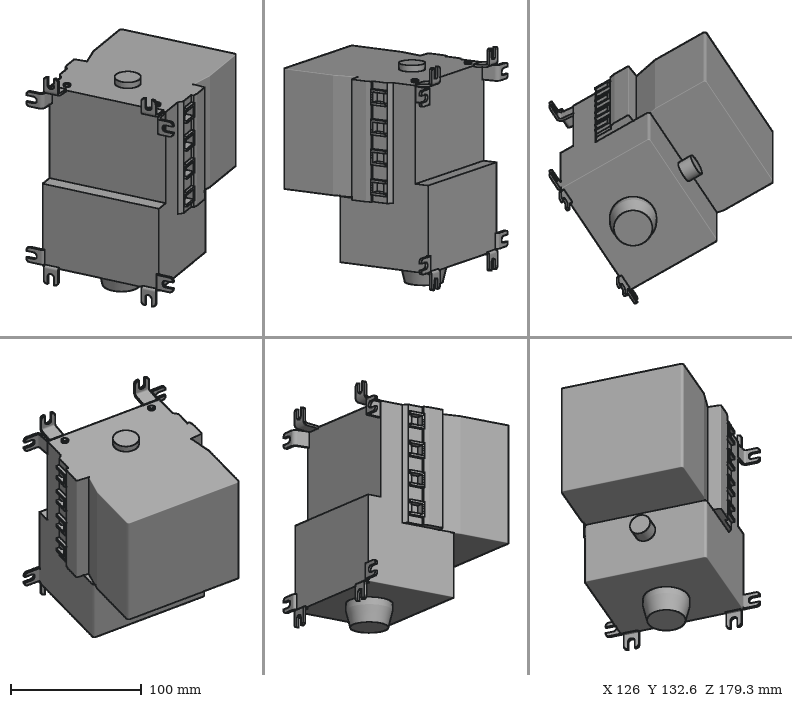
import cadquery as cq
import math


half_width = 50.0
body_height = 146.0
lower_depth = 80.0
front_step_y = 11.5
front_step_z = 69.0
overhang_z = 51.6
corner_radius = 2.2
edge_radius = 0.5

back_y = 130.4
taper_start_y = 85.2
taper_end_half_width = 45.9

wing_back_y = 65.8
wing_corner_y = 64.9
wing_half_width = 56.1
wing_slope_start_y = 52.2
wing_slope_half_width = 55.2
terminal_back_y = 47.9
terminal_front_y = 34.8
recess_half_width = 53.3
wing_front_y = 31.4

terminal_count = 4
terminal_height = 12.0
terminal_pitch = 23.5
window_height = 8.0
window_back_y = 45.7
post_back_y = 38.9
post_radius = 2.2

top_knob_radius = 10.0
top_knob_height = 5.0
top_knob_y = 45.2
back_knob_radius = 8.2
back_knob_end_y = 91.5
back_knob_z = 34.0
gland_radius = 18.0
gland_end_radius = 14.7
gland_collar_height = 5.7
gland_height = 19.0
gland_y = 34.6
screw_x = 38.7
screw_y = 18.8
screw_stem_radius = 2.3
screw_rim_radius = 2.9
screw_top_radius = 1.8
screw_stem_height = 0.9
screw_rim_height = 1.3
screw_height = 2.2

bracket_width = 12.4
bracket_thickness = 2.0
foot_front_y = -2.2
fork_slot_width = 5.5
fork_slot_depth = 9.0
fork_corner_radius = 2.9
arm_tilt = 5.0
upper_arm_end_y = 12.2
upper_bend_radius = 1.6
upper_foot_length = 11.0
lower_arm_end_y = 2.2
lower_bend_radius = 0.2
lower_foot_length = 12.7
side_tip_x = 63.02
top_tip_z = 160.3
bottom_tip_z = -13.6
end_bracket_x = 42.0
upper_side_bracket_z = 139.0
lower_side_bracket_z = 7.7


def mirrored(points):
    """Complete an outline by repeating its right half on the left."""
    return points + [(-x, y) for x, y in reversed(points)]


def prism(points, bottom, top):
    return cq.Workplane("XY").workplane(offset=bottom).polyline(points).close().extrude(top - bottom)


def make_lower_body():
    body = cq.Workplane("XY").box(2 * half_width, lower_depth, overhang_z, centered=(True, False, False))
    body = body.edges("|Z and >Y").fillet(corner_radius)
    body = body.faces("<Z").edges("not <Y").fillet(edge_radius)
    step = cq.Workplane("XY").box(
        2 * half_width, wing_front_y, front_step_z - overhang_z, centered=(True, False, False)
    )
    return body.union(step.translate((0, 0, overhang_z)))


def make_case():
    right_half = [
        (taper_end_half_width, wing_front_y),
        (taper_end_half_width, wing_back_y),
        (half_width, taper_start_y),
        (half_width, back_y),
    ]
    case = prism(mirrored(right_half), overhang_z, body_height)
    seat = prism(mirrored(right_half), overhang_z, overhang_z + edge_radius)
    rest = cq.Workplane("XY").box(2 * half_width, lower_depth, body_height, centered=(True, False, False))
    seat = seat.intersect(rest)
    case = case.edges("|Z and >Y").fillet(corner_radius)
    case = case.faces("<Z or >Z").edges("not <Y").fillet(edge_radius)
    return case.union(seat)


def make_winged_core():
    right_half = [
        (half_width, front_step_y),
        (half_width, wing_front_y),
        (recess_half_width, terminal_front_y),
        (recess_half_width, terminal_back_y),
        (wing_slope_half_width, terminal_back_y),
        (wing_half_width, wing_slope_start_y),
        (wing_half_width, wing_corner_y),
        (taper_end_half_width, wing_back_y),
    ]
    core = prism(mirrored(right_half), overhang_z, body_height)
    wing_corners = cq.selectors.BoxSelector(
        (-2 * wing_half_width, wing_slope_start_y + edge_radius, 0),
        (2 * wing_half_width, (wing_corner_y + wing_back_y) / 2, 2 * body_height),
    )
    return core.edges("|Z").edges(wing_corners).fillet(edge_radius)


def on_both_sides(solid):
    return solid.union(solid.mirror("YZ"))


def terminal_levels():
    middle = (overhang_z + body_height) / 2
    return [middle + (i - (terminal_count - 1) / 2) * terminal_pitch for i in range(terminal_count)]


def make_terminal_block(level):
    bottom = level - terminal_height / 2
    outline = [
        (half_width, terminal_front_y),
        (wing_half_width, terminal_front_y),
        (wing_half_width, terminal_back_y),
        (half_width, terminal_back_y),
    ]
    return prism(outline, bottom, bottom + terminal_height)


def make_terminal_window(level):
    """Pocket open to the side and front, leaving a round-edged post at its front."""
    bottom = level - window_height / 2
    return (
        cq.Workplane("XY").workplane(offset=bottom)
        .moveTo(wing_half_width, terminal_front_y)
        .lineTo(recess_half_width, terminal_front_y)
        .lineTo(recess_half_width, post_back_y - post_radius)
        .radiusArc((recess_half_width - post_radius, post_back_y), -post_radius)
        .lineTo(half_width, post_back_y)
        .lineTo(half_width, window_back_y)
        .lineTo(wing_half_width, window_back_y)
        .close().extrude(window_height)
    )


def make_top_knob():
    return (
        cq.Workplane("XY").workplane(offset=body_height)
        .center(0, top_knob_y).circle(top_knob_radius).extrude(top_knob_height)
    )


def make_back_knob():
    return (
        cq.Workplane("XZ", origin=(0, back_knob_end_y, back_knob_z))
        .circle(back_knob_radius).extrude(back_knob_end_y - lower_depth)
    )


def make_cable_gland():
    outline = [
        (0, 0),
        (gland_radius, 0),
        (gland_radius, -gland_collar_height),
        (gland_end_radius, -gland_height),
        (0, -gland_height),
    ]
    return cq.Workplane("XZ", origin=(0, gland_y, 0)).polyline(outline).close().revolve()


def make_screw():
    outline = [
        (0, 0),
        (screw_stem_radius, 0),
        (screw_stem_radius, screw_stem_height),
        (screw_rim_radius, screw_stem_height),
        (screw_rim_radius, screw_rim_height),
        (screw_top_radius, screw_height),
        (0, screw_height),
    ]
    screw = cq.Workplane("XZ").polyline(outline).close().revolve()
    return screw.translate((screw_x, screw_y, body_height))


def make_bracket(foot_length, bend_radius, arm_end_y):
    """Bracket with its fork tip at the origin pointing +Z and its strip centred on X = 0."""
    outer_radius = bend_radius + bracket_thickness
    foot_back_y = foot_front_y + bracket_thickness
    bend_y = foot_front_y + outer_radius
    tilt = math.radians(arm_tilt)

    def bend_point(radius, angle):
        return (bend_y - radius * math.cos(angle), -foot_length - radius * math.sin(angle))

    arm_angle = math.pi / 2 - tilt
    arm_length = (arm_end_y - bend_y) / math.cos(tilt)

    def arm_end(radius):
        y, z = bend_point(radius, arm_angle)
        return (y + arm_length * math.cos(tilt), z - arm_length * math.sin(tilt))

    strip = (
        cq.Workplane("YZ").workplane(offset=-bracket_width / 2)
        .moveTo(foot_front_y, 0)
        .lineTo(foot_front_y, -foot_length)
        .threePointArc(bend_point(outer_radius, arm_angle / 2), bend_point(outer_radius, arm_angle))
        .lineTo(*arm_end(outer_radius))
        .lineTo(*arm_end(bend_radius))
        .lineTo(*bend_point(bend_radius, arm_angle))
        .threePointArc(bend_point(bend_radius, arm_angle / 2), (foot_back_y, -foot_length))
        .lineTo(foot_back_y, 0)
        .close().extrude(bracket_width)
    )
    strip = strip.faces(">Z").edges("|Y").fillet(fork_corner_radius)
    slot_radius = fork_slot_width / 2
    slot = (
        cq.Workplane("XZ", origin=(0, foot_back_y, 0))
        .moveTo(-slot_radius, 0)
        .lineTo(-slot_radius, slot_radius - fork_slot_depth)
        .threePointArc((0, -fork_slot_depth), (slot_radius, slot_radius - fork_slot_depth))
        .lineTo(slot_radius, 0)
        .close().extrude(bracket_thickness)
    )
    return strip.cut(slot)


def turned_sideways(bracket):
    """Turn a bracket about Y so that its fork points +X."""
    return bracket.rotate((0, 0, 0), (0, 1, 0), 90)


def make_right_brackets():
    upper = make_bracket(upper_foot_length, upper_bend_radius, upper_arm_end_y)
    lower = make_bracket(lower_foot_length, lower_bend_radius, lower_arm_end_y)
    return [
        upper.translate((end_bracket_x, 0, top_tip_z)),
        turned_sideways(upper).translate((side_tip_x, 0, upper_side_bracket_z)),
        lower.mirror("XY").translate((end_bracket_x, 0, bottom_tip_z)),
        turned_sideways(lower).translate((side_tip_x, 0, lower_side_bracket_z)),
    ]


result = make_lower_body().union(make_winged_core()).union(make_case())
for terminal_z in terminal_levels():
    result = result.union(on_both_sides(make_terminal_block(terminal_z)))
    result = result.cut(on_both_sides(make_terminal_window(terminal_z)))
for fitting in (make_top_knob(), make_back_knob(), make_cable_gland()):
    result = result.union(fitting)
for fitting in [make_screw()] + make_right_brackets():
    result = result.union(on_both_sides(fitting))